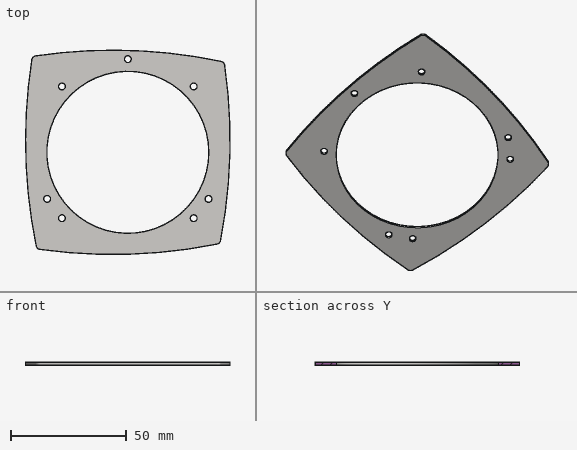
import cadquery as cq
import math

width = 88.4
depth = 88.35
thickness = 1.4

side_radius = 227.3
crest_x = -6.4
crest_y = 5.0
corner_radius = 2.0

bore_diameter = 69.9
hole_diameter = 2.8
hole_circle_radius = 40.2
hole_angles = [45, 90, 135, 210, 225, 315, 330]


def side_disc(center_x, center_y):
    """Large disc whose rim forms one curved side of the plate."""
    return cq.Workplane("XY").center(center_x, center_y).circle(side_radius).extrude(thickness)


def is_corner(edge):
    """True for an edge well away from both the X and Y axes."""
    place = edge.Center()
    return abs(place.x) > width / 4 and abs(place.y) > depth / 4


def plate_blank():
    """Common area of four large discs, with rounded corners."""
    reach_x = side_radius - width / 2
    reach_y = side_radius - depth / 2
    blank = side_disc(reach_x, crest_y)
    blank = blank.intersect(side_disc(-reach_x, crest_y))
    blank = blank.intersect(side_disc(crest_x, reach_y))
    blank = blank.intersect(side_disc(crest_x, -reach_y))
    corners = blank.edges("|Z").filter(is_corner)
    return corners.fillet(corner_radius)


def hole_center(angle):
    """Point on the hole circle at an angle in degrees from +X."""
    turn = math.radians(angle)
    return (hole_circle_radius * math.cos(turn), hole_circle_radius * math.sin(turn))


plate = plate_blank()
bore = cq.Workplane("XY").circle(bore_diameter / 2).extrude(thickness)
holes = (
    cq.Workplane("XY")
    .pushPoints([hole_center(angle) for angle in hole_angles])
    .circle(hole_diameter / 2)
    .extrude(thickness)
)
result = plate.cut(bore).cut(holes)